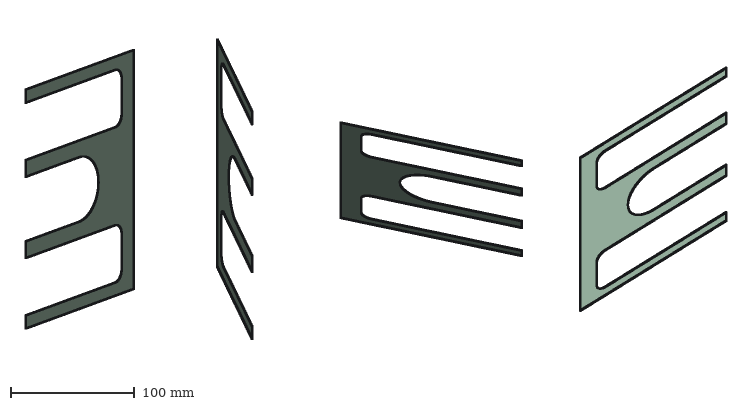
import cadquery as cq

thickness = 0.5
depth = 150.0
height = 200.0

outer_arm_width = 11.0
outer_slot_width = 48.0
inner_arm_width = 14.0
spine_width = 17.0
outer_slot_corner_radius = 9.0
center_slot_end_distance = 49.0

center_slot_width = height - 2 * (outer_arm_width + outer_slot_width + inner_arm_width)
outer_slot_offset = height / 2 - outer_arm_width - outer_slot_width / 2


def open_slot(width, end_distance, corner_radius, center_z):
    """Slot cutter from the -Y edge to its closed end, with rounded end corners."""
    length = depth - end_distance
    return (
        cq.Workplane("XY")
        .box(thickness, length, width)
        .edges("|X and >Y")
        .fillet(corner_radius)
        .translate((0, (length - depth) / 2, center_z))
    )


def round_end_slot(width, end_distance):
    """Slot cutter from the -Y edge to a semicircular closed end at mid height."""
    radius = width / 2
    open_y = -depth / 2
    end_y = depth / 2 - end_distance
    arc_start_y = end_y - radius
    return (
        cq.Workplane("YZ")
        .moveTo(open_y, -radius)
        .lineTo(arc_start_y, -radius)
        .threePointArc((end_y, 0), (arc_start_y, radius))
        .lineTo(open_y, radius)
        .close()
        .extrude(thickness / 2, both=True)
    )


plate = cq.Workplane("XY").box(thickness, depth, height)

for side in (-1, 1):
    plate = plate.cut(
        open_slot(outer_slot_width, spine_width, outer_slot_corner_radius, side * outer_slot_offset)
    )

result = plate.cut(round_end_slot(center_slot_width, center_slot_end_distance))